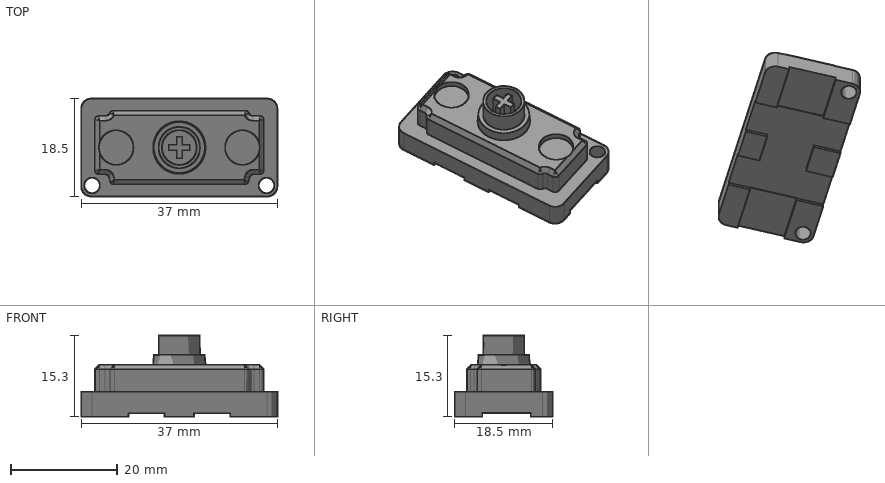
import cadquery as cq

BASE_LENGTH = 37.0
BASE_WIDTH = 18.5
BASE_HEIGHT = 4.75
BASE_CORNER_RADIUS = 2.0

MOUNT_HOLE_DIAMETER = 2.9
MOUNT_HOLE_X = 16.43
MOUNT_HOLE_Y = -7.15

SLOT_DEPTH = 0.65
CROSS_SLOT_WIDTH = 6.77
CROSS_SLOT_X = 6.18
LONG_SLOT_FRONT_Y = -4.05
LONG_SLOT_BACK_Y = 5.05
END_SLOT_DEPTH = 0.78

DECK_TOP = 9.85
DECK_HALF_LENGTH = 15.9
DECK_HALF_WIDTH = 6.95
DECK_CHAMFER = 0.9
CHAMFER_ANGLE = 45
DECK_CORNER_RADIUS = 0.8
RELIEF_OUTER_X = 12.88
FRONT_RELIEF_INNER_X = 13.4
FRONT_RELIEF_Y = -5.05
BACK_RELIEF_INNER_X = 13.35
BACK_RELIEF_Y = 5.95

POCKET_DIAMETER = 6.5
POCKET_DEPTH = 1.1
POCKET_FLOOR = DECK_TOP - POCKET_DEPTH
POCKET_X = 11.88

COLLAR_TOP = 11.65
COLLAR_BOTTOM_DIAMETER = 9.9
COLLAR_TOP_DIAMETER = 9.6

PLUNGER_TOP = 15.35
PLUNGER_BOTTOM = POCKET_FLOOR
PLUNGER_BOTTOM_DIAMETER = 7.85
PLUNGER_TOP_DIAMETER = 7.77
BORE_FLOOR = DECK_TOP
BORE_FLOOR_DIAMETER = 6.5
BORE_TOP_DIAMETER = 6.6
CROSS_SPAN = 4.0
CROSS_X_ARM_WIDTH = 1.1
CROSS_Y_ARM_WIDTH = 1.05


def make_base():
    """Flange with rounded corners and two mounting holes."""
    return (
        cq.Workplane("XY")
        .rect(BASE_LENGTH, BASE_WIDTH)
        .extrude(BASE_HEIGHT)
        .edges("|Z")
        .fillet(BASE_CORNER_RADIUS)
        .faces(">Z")
        .workplane(origin=(0, 0, BASE_HEIGHT))
        .pushPoints([(-MOUNT_HOLE_X, MOUNT_HOLE_Y), (MOUNT_HOLE_X, MOUNT_HOLE_Y)])
        .hole(MOUNT_HOLE_DIAMETER)
    )


def block(x_size, y_size, z_size, center_x=0, center_y=0, bottom=0):
    """Rectangular block, centred in X and Y, standing on a given height."""
    return cq.Workplane("XY", origin=(center_x, center_y, bottom)).rect(x_size, y_size).extrude(z_size)


def cut_foot_slots(base):
    """Two slots across the flange and one along it; the long slot is deeper at the ends."""
    long_slot_width = LONG_SLOT_BACK_Y - LONG_SLOT_FRONT_Y
    long_slot_y = (LONG_SLOT_BACK_Y + LONG_SLOT_FRONT_Y) / 2
    end_slot_length = BASE_LENGTH / 2 - CROSS_SLOT_X - CROSS_SLOT_WIDTH / 2
    end_slot_x = (BASE_LENGTH - end_slot_length) / 2
    base = base.cut(block(BASE_LENGTH, long_slot_width, SLOT_DEPTH, center_y=long_slot_y))
    for side in (-1, 1):
        base = base.cut(block(CROSS_SLOT_WIDTH, BASE_WIDTH, SLOT_DEPTH, center_x=side * CROSS_SLOT_X))
        base = base.cut(
            block(end_slot_length, long_slot_width, END_SLOT_DEPTH, side * end_slot_x, long_slot_y)
        )
    return base


def deck_outline(height):
    """Closed outline of the deck at a height, with its four corners stepped inward."""
    left = [
        (-RELIEF_OUTER_X, DECK_HALF_WIDTH),
        (-BACK_RELIEF_INNER_X, BACK_RELIEF_Y),
        (-DECK_HALF_LENGTH, BACK_RELIEF_Y),
        (-DECK_HALF_LENGTH, FRONT_RELIEF_Y),
        (-FRONT_RELIEF_INNER_X, FRONT_RELIEF_Y),
        (-RELIEF_OUTER_X, -DECK_HALF_WIDTH),
    ]
    right = [(-x, y) for x, y in reversed(left)]
    outline = cq.Wire.makePolygon([cq.Vector(x, y, height) for x, y in left + right], close=True)
    return outline.fillet2D(DECK_CORNER_RADIUS, outline.Vertices())


def make_deck():
    """Deck with straight walls and a 45 degree chamfer around its top."""
    chamfer_bottom = DECK_TOP - DECK_CHAMFER
    wall_height = chamfer_bottom - BASE_HEIGHT
    walls = cq.Solid.extrudeLinear(deck_outline(BASE_HEIGHT), [], cq.Vector(0, 0, wall_height))
    crown = cq.Solid.extrudeLinear(
        deck_outline(chamfer_bottom), [], cq.Vector(0, 0, DECK_CHAMFER), taper=CHAMFER_ANGLE
    )
    return cq.Workplane(walls).union(cq.Workplane(crown))


def cone(bottom_diameter, bottom, top_diameter, top):
    """Solid truncated cone on the Z axis."""
    profile = [(0, bottom), (bottom_diameter / 2, bottom), (top_diameter / 2, top), (0, top)]
    return cq.Workplane("XZ").polyline(profile).close().revolve(360, (0, 0), (0, 1))


def plunger_envelope():
    """Outer shape of the plunger, which is also the shape of its seat."""
    return cone(PLUNGER_BOTTOM_DIAMETER, PLUNGER_BOTTOM, PLUNGER_TOP_DIAMETER, PLUNGER_TOP)


def make_housing():
    """Flange, deck and collar in one piece, with two round pockets and the plunger's seat."""
    collar = cone(COLLAR_BOTTOM_DIAMETER, DECK_TOP, COLLAR_TOP_DIAMETER, COLLAR_TOP)
    pockets = (
        cq.Workplane("XY", origin=(0, 0, POCKET_FLOOR))
        .pushPoints([(-POCKET_X, 0), (POCKET_X, 0)])
        .circle(POCKET_DIAMETER / 2)
        .extrude(POCKET_DEPTH)
    )
    body = cut_foot_slots(make_base()).union(make_deck()).union(collar)
    return body.cut(pockets).cut(plunger_envelope())


def make_plunger():
    """Cup seated in the collar, with a cross that rises from its floor to its rim."""
    bore = cone(BORE_FLOOR_DIAMETER, BORE_FLOOR, BORE_TOP_DIAMETER, PLUNGER_TOP)
    cross_height = PLUNGER_TOP - BORE_FLOOR
    x_arm = block(CROSS_SPAN, CROSS_X_ARM_WIDTH, cross_height, bottom=BORE_FLOOR)
    y_arm = block(CROSS_Y_ARM_WIDTH, CROSS_SPAN, cross_height, bottom=BORE_FLOOR)
    return plunger_envelope().cut(bore).union(x_arm).union(y_arm)


housing = make_housing()
plunger = make_plunger()
result = cq.Compound.makeCompound([housing.solids().val(), plunger.solids().val()])